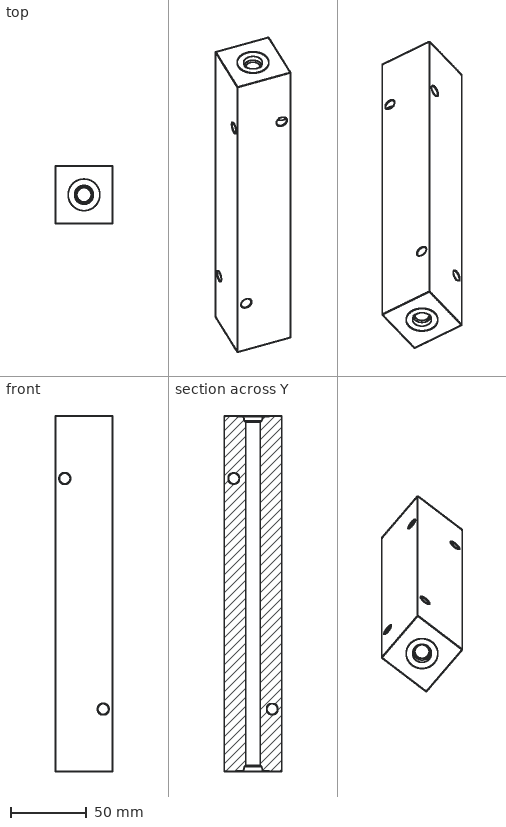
import cadquery as cq

length = 235.0
side = 38.0
edge_chamfer = 0.2

bore_diameter = 9.5
spotface_diameter = 21.0
spotface_depth = 0.5
mouth_diameter = 12.5
mouth_depth = 2.8
lead_in_diameter = 11.3
lead_in_depth = (lead_in_diameter - bore_diameter) / 2

cross_hole_diameter = 7.0
countersink_diameter = 7.8
countersink_depth = (countersink_diameter - cross_hole_diameter) / 2
cross_hole_offset = 12.7
cross_hole_height = 76.1


def make_bar():
    """Square bar with all twelve edges chamfered."""
    return cq.Workplane("XY").box(side, side, length).edges().chamfer(edge_chamfer)


def make_port():
    """Cutter for the port in the upper end face, revolved about Z."""
    top = length / 2
    mouth_top = top - spotface_depth
    mouth_bottom = mouth_top - mouth_depth
    lead_in_bottom = mouth_bottom - lead_in_depth
    profile = (
        cq.Workplane("XZ")
        .moveTo(0, top)
        .lineTo(spotface_diameter / 2, top)
        .lineTo(spotface_diameter / 2, mouth_top)
        .lineTo(mouth_diameter / 2, mouth_top)
        .lineTo(lead_in_diameter / 2, mouth_bottom)
        .lineTo(bore_diameter / 2, lead_in_bottom)
        .lineTo(0, lead_in_bottom)
        .close()
    )
    return profile.revolve(360, (0, 0, 0), (0, 1, 0))


def make_cross_hole(plane, across, height):
    """Cutter through the full width of the bar along the plane's normal, flared at both ends."""
    half_width = side / 2
    hole_radius = cross_hole_diameter / 2
    hole = cq.Workplane(plane).center(across, height).circle(hole_radius).extrude(half_width, both=True)
    for face_side in (1, -1):
        countersink = (
            cq.Workplane(plane)
            .workplane(offset=face_side * half_width)
            .center(across, height)
            .circle(countersink_diameter / 2)
            .workplane(offset=-face_side * countersink_depth)
            .circle(hole_radius)
            .loft()
        )
        hole = hole.union(countersink)
    return hole


bore = cq.Workplane("XY").circle(bore_diameter / 2).extrude(length / 2, both=True)
upper_port = make_port()
lower_port = upper_port.mirror("XY")
result = make_bar().cut(bore).cut(upper_port).cut(lower_port)

for end in (1, -1):
    across = end * cross_hole_offset
    height = end * cross_hole_height
    result = result.cut(make_cross_hole("XZ", -across, height))
    result = result.cut(make_cross_hole("YZ", across, height))